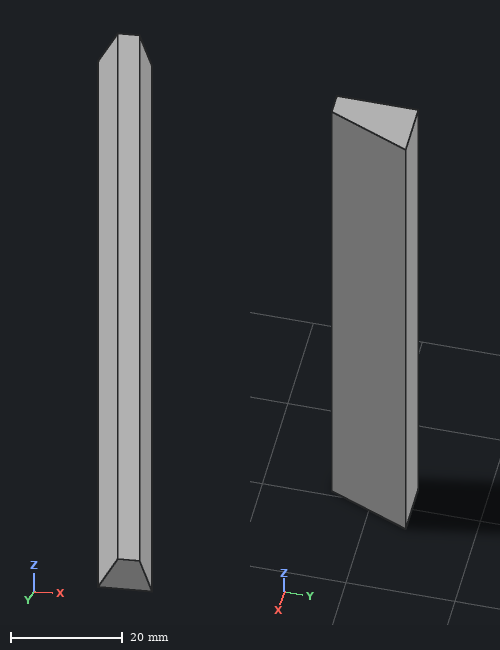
import cadquery as cq

length = 100.0
depth = 15.0
back_width = 10.0
front_width = 4.0

profile = [
    (0, 0),
    (front_width, 0),
    (back_width, depth),
    (0, depth),
]

result = cq.Workplane("XY").polyline(profile).close().extrude(length)